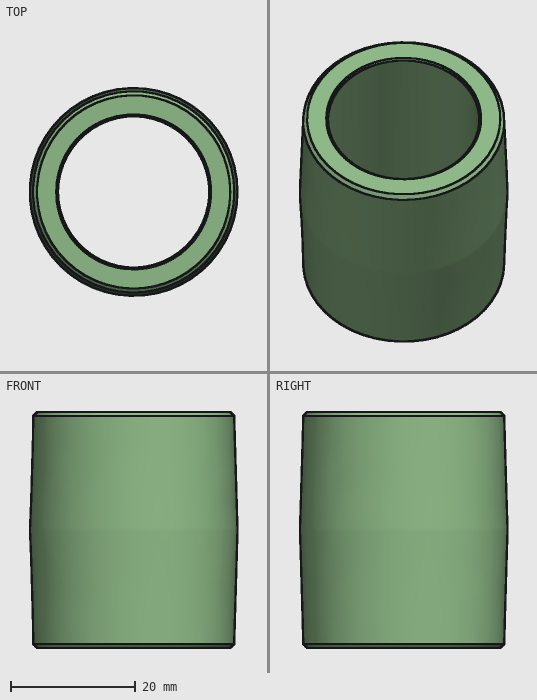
import cadquery as cq

length = 38.1
middle_diameter = 33.53
end_diameter = 32.45
bore_diameter = 24.4
band_width = 0.45
rim_chamfer = 0.65
bore_chamfer = 0.3

half_length = length / 2
half_band = band_width / 2
middle_radius = middle_diameter / 2
end_radius = end_diameter / 2
rim_radius = end_radius - rim_chamfer
taper_end = half_length - rim_chamfer

body = (
    cq.Workplane("XZ")
    .moveTo(0, -half_length)
    .lineTo(rim_radius, -half_length)
    .lineTo(end_radius, -taper_end)
    .lineTo(middle_radius, -half_band)
    .lineTo(middle_radius, half_band)
    .lineTo(end_radius, taper_end)
    .lineTo(rim_radius, half_length)
    .lineTo(0, half_length)
    .close()
    .revolve(360, (0, 0, 0), (0, 1, 0))
)

bored = body.faces(">Z").workplane().hole(bore_diameter)
bore_rims = cq.selectors.RadiusNthSelector(0)
result = bored.edges("%CIRCLE").edges(bore_rims).chamfer(bore_chamfer)